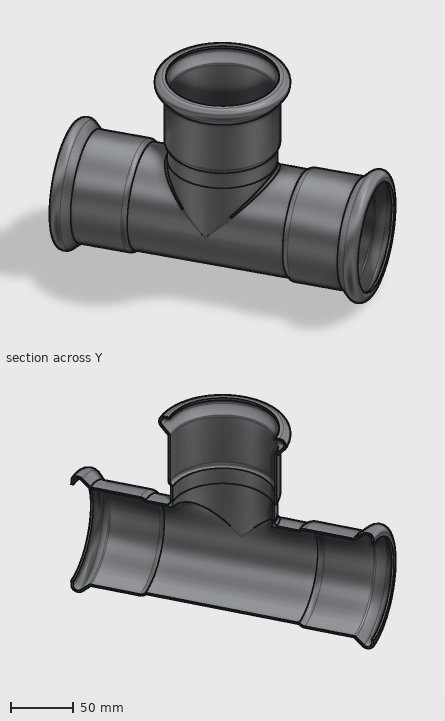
import cadquery as cq
import math


run_half_length = 130.0
branch_height = 127.0
joint_height = 48.4

wall = 2.0
pipe_radius = 89.0 / 2
bore_radius = pipe_radius - wall
socket_radius = 93.5 / 2
rim_radius = 109.5 / 2
mouth_radius = 91.0 / 2

rim_round = 6.0
cone_angle = math.radians(42)
step_start = 59.5
step_end = 64.2
inner_bend_radius = 2.3

bevel_width = 2.0
bevel_end_height = 2.5


def tangent_arc_middle(step_length, step_depth):
    """Middle of an arc that leaves a straight wall tangentially: (distance along, inward)."""
    radius = (step_length ** 2 + step_depth ** 2) / (2 * step_depth)
    half_angle = math.asin(step_length / radius) / 2
    return radius * math.sin(half_angle), radius * (1 - math.cos(half_angle))


def half_outline(plane, length, inset):
    """Open outline of one socket, from the end of the pipe wall to the axis at the mouth.

    Local x is the radius and local y runs along the axis. An inset of 0 gives the outer skin;
    an inset of the wall thickness gives the cavity below the mouth.
    """
    pipe = pipe_radius - inset
    socket = socket_radius - inset
    step_along, step_inward = tangent_arc_middle(step_end - step_start, socket - pipe)

    rim_centre_radius = rim_radius - rim_round
    rim_section = rim_round - inset

    def rim_point(angle):
        """Point on the rolled rim, at an angle from radially outward toward the pipe end."""
        radius = rim_centre_radius + rim_section * math.cos(angle)
        depth = rim_round + rim_section * math.sin(angle)
        return radius, length - depth

    cone_top_radius, cone_top = rim_point(cone_angle)
    cone_bottom = cone_top - (cone_top_radius - socket) / math.tan(cone_angle)
    rim_start = -math.pi / 2
    rim_middle = (rim_start + cone_angle) / 2

    outline = (
        cq.Workplane(plane)
        .moveTo(pipe, length - step_end)
        .threePointArc(
            (socket - step_inward, length - step_start - step_along),
            (socket, length - step_start),
        )
    )
    if inset > 0:
        tangent = inner_bend_radius * math.tan(cone_angle / 2)
        bend_start = cone_bottom - tangent
        bend_middle = (
            socket + inner_bend_radius * (1 - math.cos(cone_angle / 2)),
            bend_start + inner_bend_radius * math.sin(cone_angle / 2),
        )
        bend_end = (
            socket + tangent * math.sin(cone_angle),
            cone_bottom + tangent * math.cos(cone_angle),
        )
        outline = outline.lineTo(socket, bend_start).threePointArc(bend_middle, bend_end)
    else:
        outline = outline.lineTo(socket, cone_bottom)
    return (
        outline.lineTo(cone_top_radius, cone_top)
        .threePointArc(rim_point(rim_middle), rim_point(rim_start))
        .lineTo(0, length - inset)
    )


def branch_form(inset):
    """Upright socket form with its pipe end at z = 0."""
    outline = half_outline("XZ", branch_height, inset)
    return outline.lineTo(0, 0).lineTo(pipe_radius - inset, 0).close().revolve(360, (0, 0), (0, 1))


def run_form(inset):
    """Form of the whole run: two mirrored socket outlines, joined by one pipe wall, about X."""
    axial_plane = cq.Plane(origin=(0, 0, 0), xDir=(0, 0, -1), normal=(0, -1, 0))
    outline = half_outline(axial_plane, run_half_length, inset).wire().val()
    opposite = outline.mirror("YZ")
    pipe_end_x = run_half_length - step_end
    pipe_wall_z = inset - pipe_radius
    mouth_x = run_half_length - inset
    pipe_wall = cq.Edge.makeLine(
        cq.Vector(-pipe_end_x, 0, pipe_wall_z), cq.Vector(pipe_end_x, 0, pipe_wall_z)
    )
    axis = cq.Edge.makeLine(cq.Vector(mouth_x, 0, 0), cq.Vector(-mouth_x, 0, 0))
    profile = cq.Wire.combine([*outline.Edges(), *opposite.Edges(), pipe_wall, axis])[0]
    return cq.Workplane(cq.Solid.revolve(profile, [], 360, cq.Vector(0, 0, 0), cq.Vector(1, 0, 0)))


def weld_bevel(side):
    """Bevel on one side of the collar: an elliptic cylinder lying across the mitre plane."""
    mitre_reach = (2 * pipe_radius + bevel_width) / math.sqrt(2)
    strip_width = bevel_width * math.sqrt(2)
    mitre = cq.Plane(origin=(0, 0, 0), xDir=(side, 0, 1), normal=(side, 0, -1))
    bevel = (
        cq.Workplane(mitre)
        .workplane(offset=-strip_width / 2)
        .moveTo(0, -pipe_radius)
        .ellipseArc(mitre_reach, pipe_radius, -90, 90, startAtCurrent=True)
        .close()
        .extrude(strip_width)
    )
    vanishing_end = cq.Workplane("XY").box(4 * pipe_radius, 4 * pipe_radius, 2 * bevel_end_height)
    return bevel.cut(vanishing_end)


def make_run():
    collar = cq.Workplane("XY").circle(pipe_radius).extrude(joint_height)
    collar_bore = cq.Workplane("XY").circle(bore_radius).extrude(joint_height)

    body = run_form(0).union(collar)
    for side in (-1, 1):
        body = body.union(weld_bevel(side))
    body = body.cut(run_form(wall)).cut(collar_bore)
    for end in (-1, 1):
        mouth_plane = cq.Workplane("YZ").workplane(offset=end * run_half_length)
        body = body.cut(mouth_plane.circle(mouth_radius).extrude(-end * 2 * wall))
    return body


def make_branch():
    below_joint = cq.Workplane("XY").circle(rim_radius).extrude(joint_height)
    mouth_floor = cq.Workplane("XY").workplane(offset=branch_height - 2 * wall)
    mouth = mouth_floor.circle(mouth_radius).extrude(2 * wall)
    return branch_form(0).cut(branch_form(wall)).cut(mouth).cut(below_joint)


run = make_run()
branch = make_branch()
result = cq.Compound.makeCompound([*run.vals(), *branch.vals()])